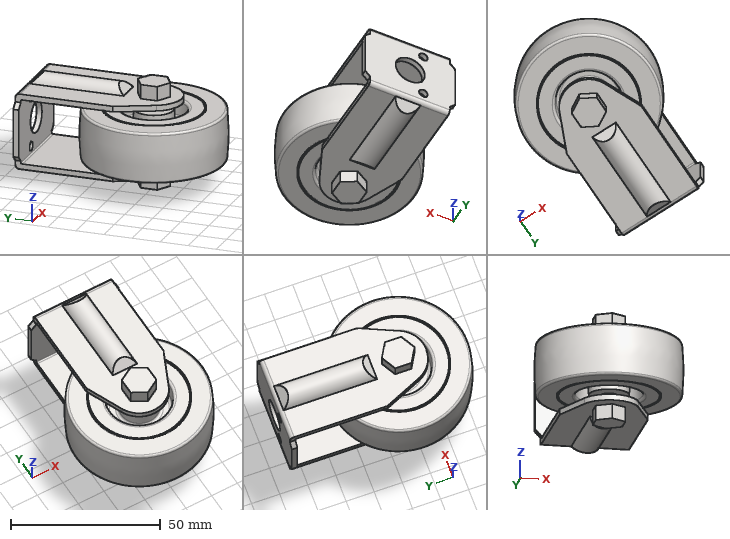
import cadquery as cq
import math


wheel_radius = 25.0
wheel_width = 17.9
wheel_half = wheel_width / 2
crown_drop = 0.5
tread_fillet = 0.8

groove_inner_diameter = 34.0
groove_outer_diameter = 35.0
groove_depth = 0.5

recess_mouth_radius = 11.45
recess_floor_radius = 10.9
recess_floor_z = 2.5
hub_top_radius = 6.8
hub_base_radius = 7.05
hub_half = 8.6
recess_fillet = 1.0

axle_diameter = 5.0
head_across_flats = 10.1
bolt_half = 18.5

sheet = 2.0
fork_half_height = 13.45
fork_width = 30.0
fork_back_y = 69 - wheel_radius
fork_shoulder_y = 9.2
fork_nose_radius = 10.0
bend_outer_radius = 1.5
bend_inner_radius = 0.5

ear_width = 34.0
ear_half_height = 10.5
ear_chamfer = (ear_width - fork_width) / 2
center_hole_diameter = 11.0
mount_hole_diameter = 3.2
mount_hole_x = -5.0
mount_hole_z = 8.75

bead_width = 9.4
bead_height = 3.05
bead_front_y = fork_shoulder_y
bead_back_y = fork_back_y - bend_outer_radius


def ring(outer_diameter, inner_diameter, height):
    return cq.Workplane("XY").circle(outer_diameter / 2).circle(inner_diameter / 2).extrude(height)


def make_recess():
    """Annular pocket in the upper wheel face, rounded at its mouth and floor."""
    pocket = (
        cq.Workplane("XZ")
        .moveTo(0, wheel_half)
        .lineTo(0, hub_half)
        .lineTo(hub_top_radius, hub_half)
        .lineTo(hub_base_radius, recess_floor_z)
        .lineTo(recess_floor_radius, recess_floor_z)
        .lineTo(recess_mouth_radius, wheel_half)
        .close()
        .revolve(360, (0, 0, 0), (0, 1, 0))
    )
    return pocket.faces("<Z").edges().fillet(recess_fillet)


def make_wheel():
    edge_radius = wheel_radius - crown_drop
    wheel = (
        cq.Workplane("XZ")
        .moveTo(0, -wheel_half)
        .lineTo(edge_radius, -wheel_half)
        .threePointArc((wheel_radius, 0), (edge_radius, wheel_half))
        .lineTo(0, wheel_half)
        .close()
        .revolve(360, (0, 0, 0), (0, 1, 0))
        .faces("<Z or >Z")
        .edges()
        .fillet(tread_fillet)
    )
    groove = ring(groove_outer_diameter, groove_inner_diameter, groove_depth)
    groove = groove.translate((0, 0, wheel_half - groove_depth))
    recess = make_recess()
    for cutter in (groove, recess):
        wheel = wheel.cut(cutter).cut(cutter.mirror("XY"))
    mouth = cq.selectors.RadiusNthSelector(0)
    for face in (">Z", "<Z"):
        wheel = wheel.faces(face).edges(mouth).fillet(recess_fillet)
    return wheel


def make_bolt():
    corner_radius = head_across_flats / 2 / math.cos(math.pi / 6)
    corners = [
        (corner_radius * math.sin(i * math.pi / 3), corner_radius * math.cos(i * math.pi / 3))
        for i in range(6)
    ]
    head = (
        cq.Workplane("XY", origin=(0, 0, fork_half_height))
        .polyline(corners)
        .close()
        .extrude(bolt_half - fork_half_height)
    )
    axle = cq.Workplane("XY").circle(axle_diameter / 2).extrude(fork_half_height, both=True)
    return axle.union(head).union(head.mirror("XY"))


def make_arm_outline():
    """Plan of the fork: straight sides, then tangents onto a round nose about the axle."""
    half = fork_width / 2
    shoulder_distance = math.hypot(half, fork_shoulder_y)
    tangent_angle = math.atan2(fork_shoulder_y, half) - math.acos(fork_nose_radius / shoulder_distance)
    tangent_x = fork_nose_radius * math.cos(tangent_angle)
    tangent_y = fork_nose_radius * math.sin(tangent_angle)
    return (
        cq.Workplane("XY")
        .moveTo(half, fork_back_y)
        .lineTo(half, fork_shoulder_y)
        .lineTo(tangent_x, tangent_y)
        .threePointArc((0, -fork_nose_radius), (-tangent_x, tangent_y))
        .lineTo(-half, fork_shoulder_y)
        .lineTo(-half, fork_back_y)
        .close()
        .extrude(fork_half_height, both=True)
    )


def make_bead():
    """Round-topped bead on the upper arm, with both ends sloped at 45 degrees."""
    profile = (
        cq.Workplane("XZ", origin=(0, bead_back_y, fork_half_height))
        .moveTo(-bead_width / 2, 0)
        .threePointArc((0, bead_height), (bead_width / 2, 0))
        .close()
        .extrude(bead_back_y - bead_front_y)
    )
    sloped_ends = (
        cq.Workplane("YZ", origin=(0, 0, fork_half_height))
        .polyline([
            (bead_front_y, 0),
            (bead_back_y, 0),
            (bead_back_y - bead_height, bead_height),
            (bead_front_y + bead_height, bead_height),
        ])
        .close()
        .extrude(bead_width, both=True)
    )
    return profile.intersect(sloped_ends)


def make_fork():
    inner_back_y = fork_back_y - sheet
    gap_half = fork_half_height - sheet
    fork = make_arm_outline().edges("|X and >Y").fillet(bend_outer_radius)
    gap_length = inner_back_y + 2 * fork_nose_radius
    gap = (
        cq.Workplane("XY")
        .box(2 * fork_width, gap_length, 2 * gap_half)
        .translate((0, inner_back_y - gap_length / 2, 0))
        .edges("|X and >Y")
        .fillet(bend_inner_radius)
    )
    ears = (
        cq.Workplane("XY")
        .box(ear_width, sheet, 2 * ear_half_height)
        .translate((0, fork_back_y - sheet / 2, 0))
        .edges("|Y")
        .chamfer(ear_chamfer)
    )
    bead = make_bead()
    fork = fork.cut(gap).union(ears).union(bead).union(bead.mirror("XY"))

    back = cq.Workplane("XZ", origin=(0, fork_back_y, 0))
    center_hole = back.circle(center_hole_diameter / 2).extrude(sheet)
    mount_holes = (
        back.pushPoints([(mount_hole_x, mount_hole_z), (mount_hole_x, -mount_hole_z)])
        .circle(mount_hole_diameter / 2)
        .extrude(sheet)
    )
    return fork.cut(center_hole).cut(mount_holes)


result = make_wheel().union(make_bolt()).union(make_fork())